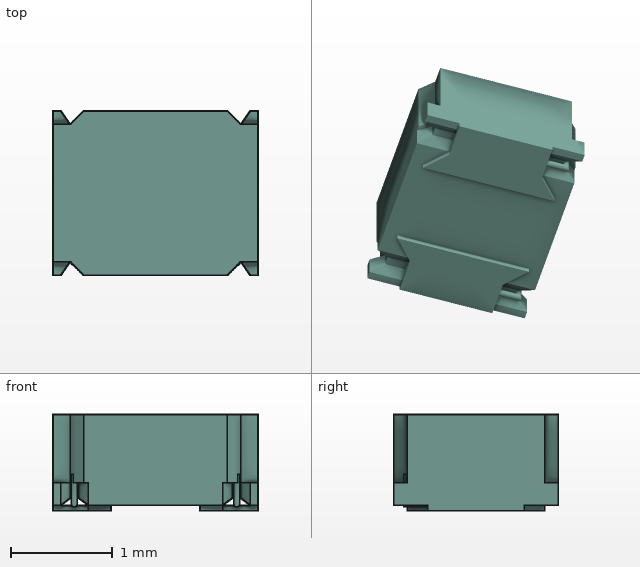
import cadquery as cq

length = 2.02
width = 1.62
height = 0.95

pad_thickness = 0.055
pad_length = 0.574
pad_side_inset = 0.333
pad_flare_start = 0.35
pad_inner_inset = 0.133

lug_top = 0.279
notch_depth = 0.133
upper_notch_inner = 0.17
upper_notch_outer = 0.303
groove_left = 0.079
groove_right = 0.35
groove_top_left = 0.17
groove_top_right = 0.255
groove_height = 0.069

wire_diameter = 0.063
wire_end_inset = 0.21
wire_side_inset = 0.131
wire_top = 0.362
wire_bottom = 0.038

signs = (-1, 1)
half_length = length / 2
half_width = width / 2


def plan_points(insets, end, side):
    """Turn (distance from end, distance from side) pairs into X, Y points."""
    return [(end * (half_length - x), side * (half_width - y)) for x, y in insets]


def prism(points, bottom, top):
    """Extrude a plan outline between two heights."""
    return cq.Workplane("XY").workplane(offset=bottom).polyline(points).close().extrude(top - bottom)


def upper_notch(end, side):
    """Corner relief above a lug, with one slanting wall."""
    outline = [(0, 0), (0, notch_depth), (upper_notch_inner, notch_depth), (upper_notch_outer, 0)]
    return prism(plan_points(outline, end, side), lug_top, height)


def lower_notch(end, side):
    """Tapered opening between a lug and the body."""
    outline = [
        (groove_left, 0),
        (groove_top_left, notch_depth),
        (groove_top_right, notch_depth),
        (groove_right, 0),
    ]
    return prism(plan_points(outline, end, side), pad_thickness, lug_top)


def wire_groove(end):
    """Trapezoidal channel along Y in the body's underside."""
    groove_top = pad_thickness + groove_height
    profile = [
        (end * (half_length - groove_left), pad_thickness),
        (end * (half_length - groove_top_left), groove_top),
        (end * (half_length - groove_top_right), groove_top),
        (end * (half_length - groove_right), pad_thickness),
    ]
    return cq.Workplane("XZ").polyline(profile).close().extrude(half_width, both=True)


def pad(end):
    """Flat pad that widens towards the middle of the part."""
    side_outline = [
        (0, pad_side_inset),
        (pad_flare_start, pad_side_inset),
        (pad_length, pad_inner_inset),
    ]
    near = plan_points(side_outline, end, -1)
    far = plan_points(side_outline, end, 1)
    return prism(near + far[::-1], 0, pad_thickness)


def wire(end):
    """Round wire dropping down the -Y notch and turning along the groove."""
    x = end * (half_length - wire_end_inset)
    y = wire_side_inset - half_width
    run_height = wire_bottom + wire_diameter / 2
    run_end = half_width - pad_side_inset
    path = cq.Workplane("YZ", origin=(x, 0, 0)).polyline(
        [(y, wire_top), (y, run_height), (run_end, run_height)]
    )
    section = cq.Workplane("XY", origin=(x, y, wire_top)).circle(wire_diameter / 2)
    return section.sweep(path, transition="right")


body = cq.Workplane("XY").box(length, width, height - pad_thickness, centered=(True, True, False))
body = body.translate((0, 0, pad_thickness))

for end in signs:
    for side in signs:
        body = body.cut(upper_notch(end, side)).cut(lower_notch(end, side))
    body = body.cut(wire_groove(end))

for end in signs:
    body = body.union(pad(end)).union(wire(end))

result = body